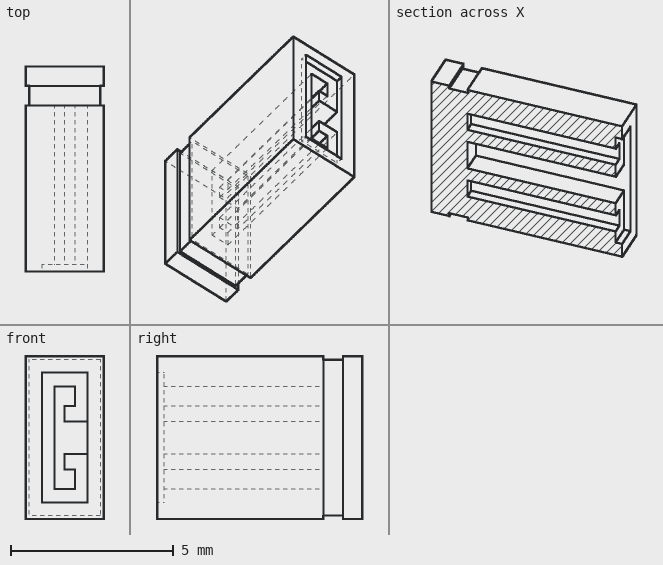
import cadquery as cq

width = 2.4
length = 6.3
height = 5.0
cap_length = 0.6
groove_length = 0.6
groove_depth = 0.11
body_length = length - cap_length - groove_length

wall = 0.505
recess_depth = 0.215
recess_width = width - 2 * wall
recess_height = height - 2 * wall

slot_half_width = 0.31
slot_half_height = 1.575
hook_tip_x = -0.01
hook_outer_z = 0.975
hook_inner_z = 0.5
slot_end_y = body_length


def block(x_size, z_size, y_start, y_size):
    """Block centred on X and Z, running in +Y from y_start."""
    return cq.Workplane("XY").box(x_size, y_size, z_size, centered=(True, False, True)).translate((0, y_start, 0))


def housing():
    """Body, narrower neck forming the groove, and end cap."""
    body = block(width, height, 0, body_length)
    neck = block(width - 2 * groove_depth, height - 2 * groove_depth, body_length, groove_length)
    cap = block(width, height, body_length + groove_length, cap_length)
    return body.union(neck).union(cap)


def contact_slot():
    """Slot left between two hooked contacts, opening to the +X recess wall at mid-height."""
    upper_outline = [
        (recess_width / 2, hook_inner_z),
        (hook_tip_x, hook_inner_z),
        (hook_tip_x, hook_outer_z),
        (slot_half_width, hook_outer_z),
        (slot_half_width, slot_half_height),
        (-slot_half_width, slot_half_height),
    ]
    lower_outline = [(x, -z) for x, z in reversed(upper_outline)]
    return cq.Workplane("XZ").polyline(upper_outline + lower_outline).close().extrude(-slot_end_y)


recess = block(recess_width, recess_height, 0, recess_depth)
result = housing().cut(recess).cut(contact_slot())